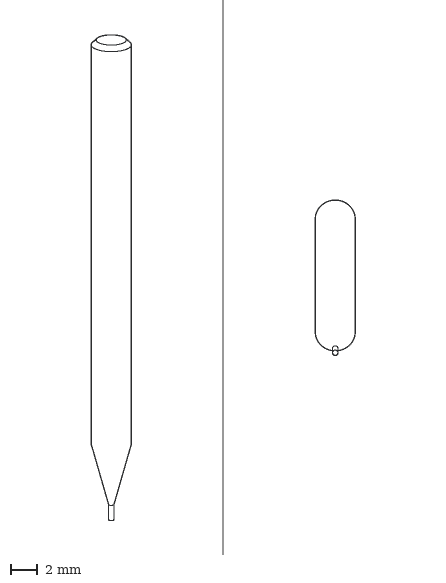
import cadquery as cq

total_length = 38.1
shank_diameter = 3.0
end_chamfer = 0.4
taper_top = 6.02
tip_length = 1.22
tip_diameter = 0.42

shank_radius = shank_diameter / 2
tip_radius = tip_diameter / 2


def make_shank():
    """Round shank, chamfered at the top and tapering down to the tip."""
    chamfer_start = total_length - end_chamfer
    return (
        cq.Workplane("XZ")
        .moveTo(0, tip_length)
        .lineTo(tip_radius, tip_length)
        .lineTo(shank_radius, taper_top)
        .lineTo(shank_radius, chamfer_start)
        .lineTo(shank_radius - end_chamfer, total_length)
        .lineTo(0, total_length)
        .close()
        .revolve(360, (0, 0, 0), (0, 1, 0))
    )


def make_tip():
    """Thin cylindrical tip, butted against the small end of the taper."""
    return cq.Workplane("XY").circle(tip_radius).extrude(tip_length)


shank = make_shank()
tip = make_tip()

result = cq.Compound.makeCompound([shank.val(), tip.val()])